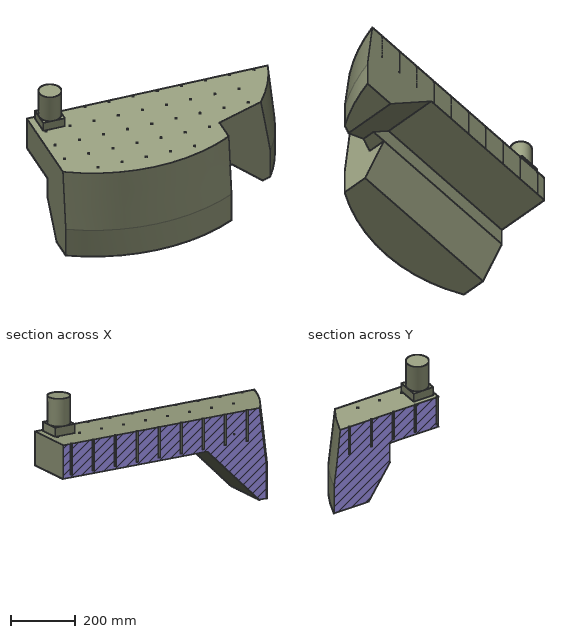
import cadquery as cq
import math

body_length = 821.0
body_height = 300.0

outer_radius = 564.0
top_radius = 543.0
axis_x = -156.0
axis_y = body_length - math.sqrt(outer_radius**2 - axis_x**2)
straight_height = 100.0
outer_reach = axis_x + outer_radius

shoulder_y = 548.0
notch_corner_x = 236.0
notch_end_x = 163.5
notch_end_y = 745.0

recess_width = 176.5
recess_height = 189.0
recess_back_y = 526.0
rear_foot_y = recess_back_y + recess_height
side_foot_x = 255.0
side_slope_height = 118.0

post_x = 45.0
post_y = 59.0
post_diameter = 71.5
base_top = 329.0
post_top = 419.0

hole_diameter = 5.0
hole_depth = 100.0
first_hole_x = 5.0
first_hole_y = 30.0
last_hole_y = 751.0
holes_per_row = (4, 5, 5, 5, 5, 5, 4, 3, 3, 1)
hole_pitch = (last_hole_y - first_hole_y) / (len(holes_per_row) - 1)


def make_round_body():
    profile = [
        (0, 0),
        (outer_radius, 0),
        (outer_radius, straight_height),
        (top_radius, body_height),
        (0, body_height),
    ]
    round_body = (
        cq.Workplane("XZ")
        .polyline(profile)
        .close()
        .revolve(360, (0, 0), (0, 1))
        .translate((axis_x, axis_y, 0))
    )
    notch_slope = (notch_corner_x - notch_end_x) / (notch_end_y - shoulder_y)
    notch_far_x = notch_corner_x - notch_slope * (body_length - shoulder_y)
    outline = [
        (0, 0),
        (outer_reach, 0),
        (outer_reach, shoulder_y),
        (notch_corner_x, shoulder_y),
        (notch_far_x, body_length),
        (0, body_length),
    ]
    footprint = cq.Workplane("XY").polyline(outline).close().extrude(body_height)
    return round_body.intersect(footprint)


def make_recess():
    rear_profile = [
        (0, 0),
        (rear_foot_y, 0),
        (recess_back_y, recess_height),
        (0, recess_height),
    ]
    main = cq.Workplane("YZ").polyline(rear_profile).close().extrude(recess_width)

    side_profile = [
        (recess_width, 0),
        (side_foot_x, 0),
        (recess_width, side_slope_height),
    ]
    undercut = cq.Workplane("XZ").polyline(side_profile).close().extrude(-shoulder_y)

    gap_top_y = rear_foot_y - side_slope_height * (rear_foot_y - recess_back_y) / recess_height
    gap_profile = [
        (shoulder_y, 0),
        (rear_foot_y, 0),
        (gap_top_y, side_slope_height),
        (shoulder_y, side_slope_height),
    ]
    gap = (
        cq.Workplane("YZ", origin=(recess_width, 0, 0))
        .polyline(gap_profile)
        .close()
        .extrude(notch_corner_x - recess_width)
    )
    return main.union(undercut).union(gap)


def make_post():
    base = (
        cq.Workplane("XY", origin=(post_x, post_y, body_height))
        .rect(post_diameter, post_diameter)
        .extrude(base_top - body_height)
    )
    post = (
        cq.Workplane("XY", origin=(post_x, post_y, base_top))
        .circle(post_diameter / 2)
        .extrude(post_top - base_top)
    )
    return base.union(post)


def make_deck_holes():
    centers = [
        (first_hole_x + column * hole_pitch, first_hole_y + row * hole_pitch)
        for row, count in enumerate(holes_per_row)
        for column in range(count)
    ]
    return (
        cq.Workplane("XY", origin=(0, 0, body_height))
        .pushPoints(centers)
        .circle(hole_diameter / 2)
        .extrude(-hole_depth)
    )


body = make_round_body().cut(make_recess()).cut(make_deck_holes())
result = body.union(make_post())